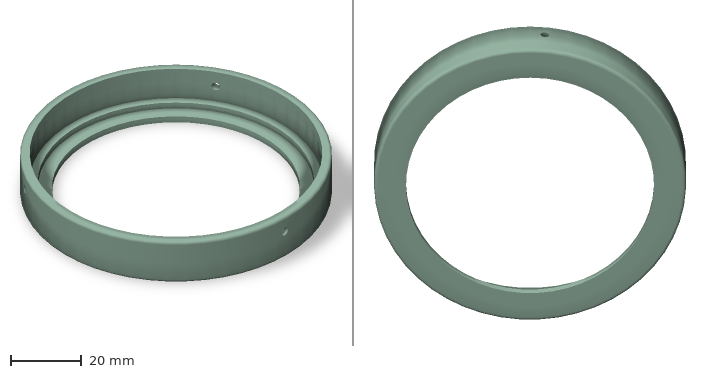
import cadquery as cq

outer_diameter = 88.0
height = 14.0
edge_round = 1.0

through_diameter = 70.0
middle_diameter = 78.0
upper_diameter = 82.5
middle_floor = 2.0
upper_floor = 4.0

hole_diameter = 2.5
hole_height = 9.0
hole_count = 3
first_hole_angle = 90.0


def bore(diameter, floor):
    """Cylinder that opens the ring from the given floor up to its top."""
    return cq.Workplane("XY").workplane(offset=floor).circle(diameter / 2).extrude(height - floor)


def radial_hole(angle):
    """Cylinder running from the ring axis out through the wall."""
    drill = (
        cq.Workplane("YZ")
        .center(0, hole_height)
        .circle(hole_diameter / 2)
        .extrude(outer_diameter)
    )
    return drill.rotate((0, 0, 0), (0, 0, 1), angle)


ring = cq.Workplane("XY").circle(outer_diameter / 2).extrude(height)
ring = ring.edges("%CIRCLE").fillet(edge_round)

ring = ring.cut(bore(through_diameter, 0))
ring = ring.cut(bore(middle_diameter, middle_floor))
ring = ring.cut(bore(upper_diameter, upper_floor))

for index in range(hole_count):
    ring = ring.cut(radial_hole(first_hole_angle + index * 360 / hole_count))

result = ring